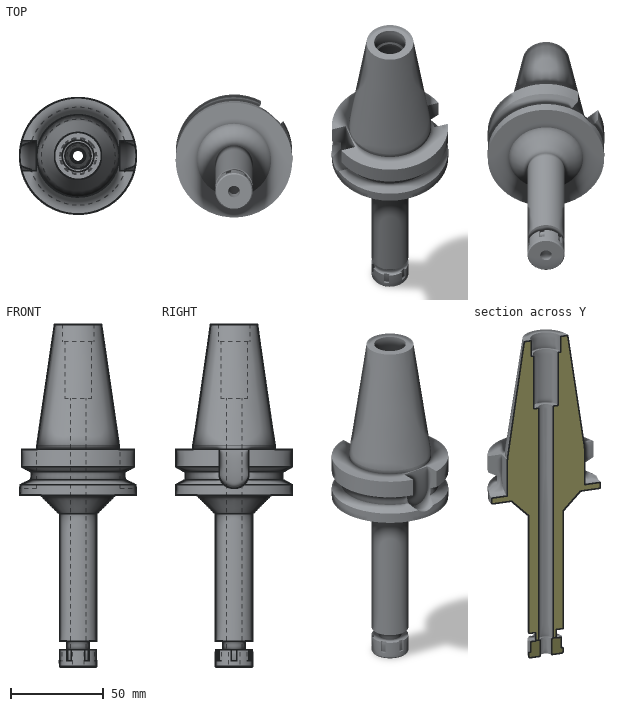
import cadquery as cq

overall_length = 185.4

taper_length = 65.5
taper_small_diameter = 25.4
taper_large_radius = 22.2
gauge_band_height = 2.0

flange_radius = 31.5
flange_thickness = 24.8
upper_rim_height = 9.5
lower_rim_height = 5.5
groove_radius = 26.5
groove_wall_height = 2.8

keyway_width = 16.1
keyway_depth_along_z = 21.1
keyway_floor_offset = 22.6

shank_radius = 10.0
shoulder_height = 10.0
shoulder_radius = shank_radius + shoulder_height
neck_radius = 6.1
neck_height = 4.6

counterbore_radius = 8.5
counterbore_depth = 9.0
thread_bore_radius = 7.0
thread_bore_depth = 40.0
passage_radius = 4.0

nut_height = 9.6
nut_radius = shank_radius
nut_chamfer_width = 0.5
nut_chamfer_height = 0.7
nut_bore_radius = 3.2
wrench_slot_count = 6
wrench_slot_width = 2.8
wrench_slot_height = 6.1
wrench_slot_depth = 1.1

gauge_z = overall_length - taper_length
flange_top = gauge_z - gauge_band_height
flange_bottom = flange_top - flange_thickness
groove_top = flange_top - upper_rim_height
groove_bottom = flange_bottom + lower_rim_height
shank_top = flange_bottom - shoulder_height
neck_bottom = nut_height
neck_top = neck_bottom + neck_height


def cylinder(radius, bottom, top):
    return cq.Workplane("XY").workplane(offset=bottom).circle(radius).extrude(top - bottom)


def make_holder_blank():
    """Outer turned shape: taper, grooved flange, shoulder, shank and neck."""
    profile = [
        (0, overall_length),
        (taper_small_diameter / 2, overall_length),
        (taper_large_radius, gauge_z),
        (taper_large_radius, flange_top),
        (flange_radius, flange_top),
        (flange_radius, groove_top),
        (groove_radius, groove_top - groove_wall_height),
        (groove_radius, groove_bottom + groove_wall_height),
        (flange_radius, groove_bottom),
        (flange_radius, flange_bottom),
        (shoulder_radius, flange_bottom),
        (shank_radius, shank_top),
        (shank_radius, neck_top),
        (neck_radius, neck_top),
        (neck_radius, neck_bottom),
        (0, neck_bottom),
    ]
    return cq.Workplane("XZ").polyline(profile).close().revolve(360, (0, 0, 0), (0, 1, 0))


def make_keyway_cutter(side):
    """Round-bottomed, open-topped keyway; side is +1 for +X and -1 for -X."""
    half_width = keyway_width / 2
    keyway_bottom = flange_top - keyway_depth_along_z
    arc_center_z = keyway_bottom + half_width
    return (
        cq.Workplane("YZ", origin=(side * keyway_floor_offset, 0, 0))
        .moveTo(-half_width, flange_top)
        .lineTo(-half_width, arc_center_z)
        .threePointArc((0, keyway_bottom), (half_width, arc_center_z))
        .lineTo(half_width, flange_top)
        .close()
        .extrude(side * flange_radius)
    )


def make_holder():
    holder = make_holder_blank()
    for side in (-1, 1):
        holder = holder.cut(make_keyway_cutter(side))
    holder = holder.cut(cylinder(counterbore_radius, overall_length - counterbore_depth, overall_length))
    holder = holder.cut(cylinder(thread_bore_radius, overall_length - thread_bore_depth, overall_length))
    return holder.cut(cylinder(passage_radius, neck_bottom, overall_length))


def make_wrench_slot_cutter(angle):
    """Slot in the side of the nut, open at the nut's top face."""
    slot_floor = nut_radius - wrench_slot_depth
    return (
        cq.Workplane("XY")
        .box(nut_radius, wrench_slot_width, wrench_slot_height, centered=(False, True, False))
        .translate((slot_floor, 0, nut_height - wrench_slot_height))
        .rotate((0, 0, 0), (0, 0, 1), angle)
    )


def make_collet_nut():
    profile = [
        (nut_bore_radius, 0),
        (nut_radius - nut_chamfer_width, 0),
        (nut_radius, nut_chamfer_height),
        (nut_radius, nut_height),
        (nut_bore_radius, nut_height),
    ]
    nut = cq.Workplane("XZ").polyline(profile).close().revolve(360, (0, 0, 0), (0, 1, 0))
    for index in range(wrench_slot_count):
        nut = nut.cut(make_wrench_slot_cutter(index * 360 / wrench_slot_count))
    return nut


holder = make_holder()
collet_nut = make_collet_nut()

result = cq.Compound.makeCompound([holder.val(), collet_nut.val()])